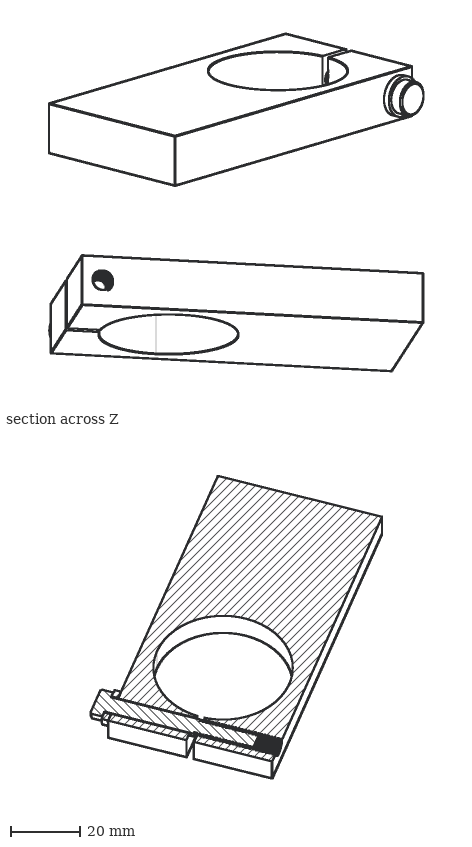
import cadquery as cq
import math

block_width = 50.0
block_length = 100.0
block_height = 15.0
edge_chamfer = 0.2
bore_diameter = 40.0
bore_from_back = 30.0
gap_width = 2.2

screw_from_back = 6.0
shank_diameter = 6.0
clearance_diameter = 6.1
screw_length = 45.0
thread_length = 18.0
head_diameter = 10.0
head_height = 3.9
head_chamfer = 0.5

pitch = 1.0
screw_core_diameter = 4.7
tapped_diameter = 5.3
groove_diameter = 6.4
flank_angle = math.radians(30)
crest_half_width = 0.06
ridge_sink = 0.1
thread_phase_x = -0.25

washer_diameter = 12.0
washer_thickness = 1.9
washer_bore_diameter = 6.4

side_x = block_width / 2
bore_y = block_length - bore_from_back
screw_y = block_length - screw_from_back
head_seat_x = side_x + washer_thickness
tip_x = head_seat_x - screw_length
thread_start_x = tip_x + thread_length


def rod(diameter, x_start, x_end):
    """Round bar on the screw axis between two X positions."""
    plane = cq.Workplane("YZ", origin=(x_start, screw_y, 0))
    return plane.circle(diameter / 2).extrude(x_end - x_start)


def helical_ridge(root_diameter, crest_diameter, turns, x_start):
    """Right-handed ridge along +X whose centre starts on the +Y side at x_start."""
    inner_radius = root_diameter / 2 - ridge_sink
    crest_radius = crest_diameter / 2
    root_half_width = crest_half_width + (crest_radius - inner_radius) * math.tan(flank_angle)
    path = cq.Wire.makeHelix(pitch, turns * pitch, inner_radius)
    profile = cq.Workplane("XZ").polyline([
        (inner_radius, -root_half_width),
        (crest_radius, -crest_half_width),
        (crest_radius, crest_half_width),
        (inner_radius, root_half_width),
    ]).close()
    ridge = profile.sweep(cq.Workplane(path), isFrenet=True)
    ridge = ridge.rotate((0, 0, 0), (1, 1, 1), 120)
    return ridge.translate((x_start, screw_y, 0))


def make_tapped_hole():
    """Threaded hole through the left cheek, extended past both of its faces."""
    run_out = 2 * pitch
    ridge_turns = math.ceil((side_x + run_out) / pitch)
    groove_start = thread_phase_x - ridge_turns * pitch
    hole = rod(tapped_diameter, -side_x - 2 * run_out, 0)
    return hole.union(helical_ridge(tapped_diameter, groove_diameter, ridge_turns, groove_start))


def make_clamp():
    """Block with a split bore and the cross hole for the screw."""
    block = cq.Workplane("XY").box(block_width, block_length, block_height, centered=(True, False, True))
    block = block.edges().chamfer(edge_chamfer)
    bore = cq.Workplane("XY").center(0, bore_y).circle(bore_diameter / 2).extrude(block_height, both=True)
    gap = cq.Workplane("XY").center(0, (bore_y + block_length) / 2)
    gap = gap.rect(gap_width, bore_from_back).extrude(block_height, both=True)
    block = block.cut(bore)
    block = block.faces("|Z").edges("%CIRCLE").chamfer(edge_chamfer)
    block = block.cut(gap)
    block = block.cut(rod(clearance_diameter, 0, side_x))
    return block.cut(make_tapped_hole())


def make_screw():
    """Cap screw with a plain shank; its thread ends short of the tip in a bare core."""
    head = rod(head_diameter, head_seat_x, head_seat_x + head_height)
    head = head.faces(">X").edges().chamfer(head_chamfer)
    shank = rod(shank_diameter, thread_start_x, head_seat_x)
    core = rod(screw_core_diameter, tip_x, thread_start_x)
    ridge_turns = math.floor(thread_length / pitch) - 1
    ridge = helical_ridge(screw_core_diameter, shank_diameter, ridge_turns, thread_phase_x - ridge_turns * pitch)
    return core.union(ridge).union(shank).union(head)


def make_washer():
    """Flat washer between the clamp and the screw head."""
    washer = rod(washer_diameter, side_x, head_seat_x)
    return washer.cut(rod(washer_bore_diameter, side_x, head_seat_x))


clamp = make_clamp()
screw = make_screw()
washer = make_washer()
result = cq.Compound.makeCompound([clamp.solids().val(), screw.solids().val(), washer.solids().val()])